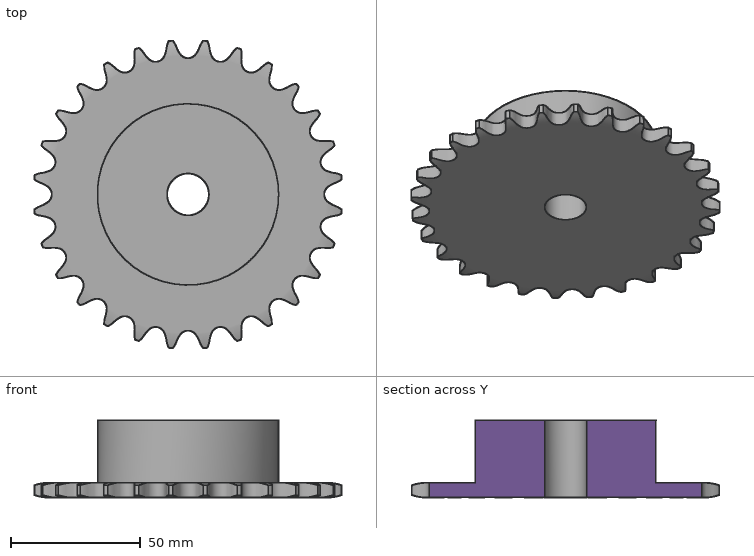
import cadquery as cq
import math

tooth_count = 28
outer_size = 118.8
root_radius = 52.6
disc_thickness = 5.8
total_height = 30.0
hub_diameter = 70.0
bore_diameter = 16.0

seat_radius = 3.7
seat_half_angle = 55.0
flank_radius = 12.4
flank_length = 3.2
crest_radius = 7.7

thinning_start_radius = 53.7
thinning_arc_radius = 17.8

outer_margin = 1.2
tooth_pitch_angle = 360.0 / tooth_count


def tangent_arc(start, heading, radius, length, turn):
    """Middle, end and end heading of an arc; turn is +1 for left and -1 for right."""

    def state_after(distance):
        new_heading = heading + turn * distance / radius
        x = start[0] + turn * radius * (math.sin(new_heading) - math.sin(heading))
        y = start[1] - turn * radius * (math.cos(new_heading) - math.cos(heading))
        return (x, y), new_heading

    middle, _ = state_after(length / 2)
    end, end_heading = state_after(length)
    return middle, end, end_heading


def mirrored(point):
    return (point[0], -point[1])


root = (root_radius, 0)
seat_length = seat_radius * math.radians(seat_half_angle)
seat_middle, seat_end, seat_heading = tangent_arc(root, math.pi / 2, seat_radius, seat_length, -1)
flank_middle, flank_end, flank_heading = tangent_arc(
    seat_end, seat_heading, flank_radius, flank_length, -1
)
tip_heading = math.asin(math.sin(flank_heading) + (outer_size / 2 - flank_end[0]) / crest_radius)
crest_length = crest_radius * (tip_heading - flank_heading)
crest_middle, tip_corner, _ = tangent_arc(flank_end, flank_heading, crest_radius, crest_length, 1)
tip_radius = math.hypot(*tip_corner)


def tooth_gap():
    """Cutter for the gap that opens toward +X, symmetric about the X axis."""
    outer_x = tip_radius + outer_margin
    return (
        cq.Workplane("XY")
        .moveTo(*root)
        .threePointArc(seat_middle, seat_end)
        .threePointArc(flank_middle, flank_end)
        .threePointArc(crest_middle, tip_corner)
        .lineTo(outer_x, tip_corner[1])
        .lineTo(outer_x, -tip_corner[1])
        .lineTo(*mirrored(tip_corner))
        .threePointArc(mirrored(crest_middle), mirrored(flank_end))
        .threePointArc(mirrored(flank_middle), mirrored(seat_end))
        .threePointArc(mirrored(seat_middle), root)
        .close()
        .extrude(disc_thickness)
    )


def face_drop(radius):
    """Depth of the rounded-over tooth face below the flat disc face."""
    reach = radius - thinning_start_radius
    return thinning_arc_radius - math.sqrt(thinning_arc_radius**2 - reach**2)


def thinned_blank():
    """Round blank whose rim gets thinner toward the tooth tips."""
    middle_radius = (thinning_start_radius + tip_radius) / 2
    middle_drop = face_drop(middle_radius)
    tip_drop = face_drop(tip_radius)
    return (
        cq.Workplane("XZ")
        .moveTo(0, 0)
        .lineTo(thinning_start_radius, 0)
        .threePointArc((middle_radius, middle_drop), (tip_radius, tip_drop))
        .lineTo(tip_radius, disc_thickness - tip_drop)
        .threePointArc(
            (middle_radius, disc_thickness - middle_drop),
            (thinning_start_radius, disc_thickness),
        )
        .lineTo(0, disc_thickness)
        .close()
        .revolve(360, (0, 0, 0), (0, 1, 0))
    )


def toothed_disc():
    disc = thinned_blank()
    gap = tooth_gap()
    for index in range(tooth_count):
        disc = disc.cut(gap.rotate((0, 0, 0), (0, 0, 1), index * tooth_pitch_angle))
    return disc


hub = cq.Workplane("XY").circle(hub_diameter / 2).extrude(total_height)
bore = cq.Workplane("XY").circle(bore_diameter / 2).extrude(total_height)
result = toothed_disc().union(hub).cut(bore)